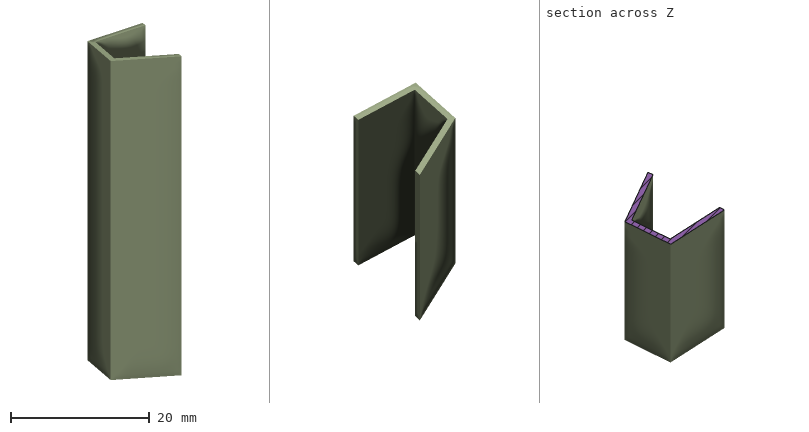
import cadquery as cq
import math

length = 50.0
depth = 10.0
base_width = 8.0
wall = 0.9
flare_angle = 15.0

slope = math.tan(math.radians(flare_angle))
wall_across = wall / math.cos(math.radians(flare_angle))
base_half = base_width / 2
mouth_half = base_half + depth * slope
inner_base_half = base_half + wall * slope - wall_across
inner_mouth_half = mouth_half - wall_across

base_y = -depth / 2
mouth_y = depth / 2
floor_y = base_y + wall

profile = [
    (-base_half, base_y),
    (base_half, base_y),
    (mouth_half, mouth_y),
    (inner_mouth_half, mouth_y),
    (inner_base_half, floor_y),
    (-inner_base_half, floor_y),
    (-inner_mouth_half, mouth_y),
    (-mouth_half, mouth_y),
]

result = cq.Workplane("XY").polyline(profile).close().extrude(length)